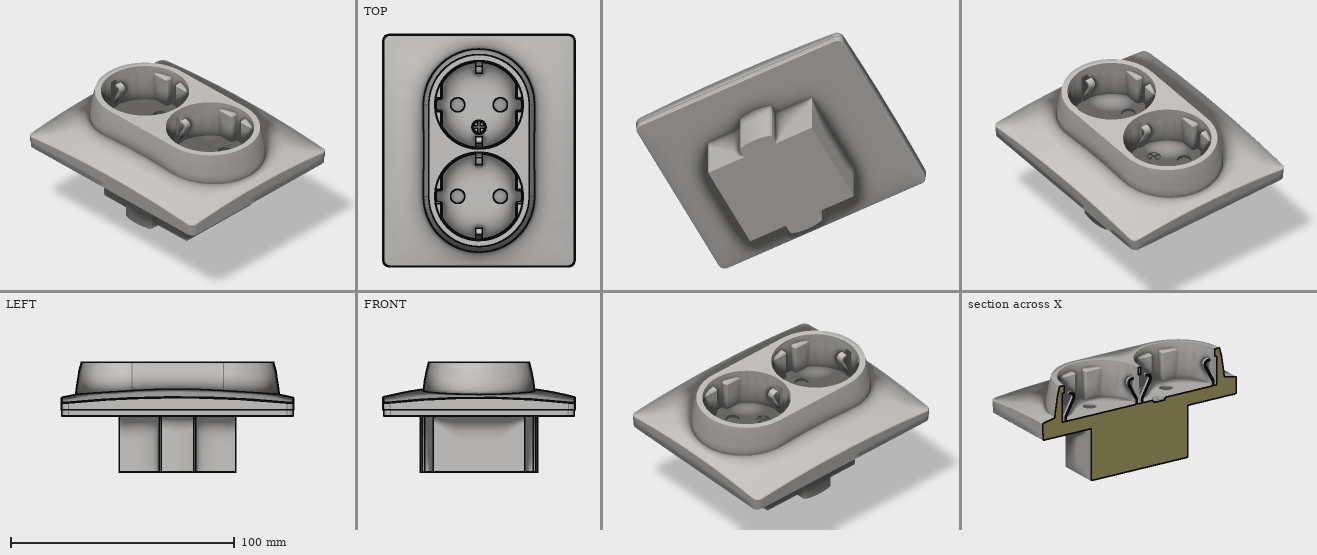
import cadquery as cq
import math

PLATE_X = 86.0
PLATE_Y = 104.0
PLATE_CORNER_R = 3.0
FRAME_X = 85.4
FRAME_Y = 103.8
FRAME_TOP_Z = 3.0
FRAME_BOTTOM_CHAMFER = 0.3

DOME_CENTRE_Z = 14.0
DOME_X_EDGE_Z = 8.6
DOME_Y_EDGE_Z = 8.4
DOME_CORNER_Z = 5.9
DOME_MARGIN = 1.0
DOME_GRID = 12
DOME_TOLERANCE = 0.001
DOME_EDGE_CHAMFER = 0.3

SOCKET_PITCH = 41.0
TOP_Z = 24.2
BODY_TOP_R = 22.5
BODY_MID_R = 24.2
BODY_MID_Z = 17.0
BODY_BASE_R = 25.0
BODY_BASE_Z = 10.0
BODY_ROOT_Z = 4.0

WELL_TOP_R = 19.8
WELL_FLOOR_R = 19.1
WELL_DEPTH = 17.5
FLOOR_Z = TOP_Z - WELL_DEPTH
PIN_SPACING = 19.1
PIN_HOLE_D = 6.3
PIN_HOLE_DEPTH = 1.5

RIB_FACE_X = 16.4
RIB_GAP_Y = 5.0
RIB_TOP_Z = 21.0
RIB_CHAMFER = 0.7
RIB_REACH = 22.0

CLIP_WIDTH = 3.1
CLIP_THICKNESS = 0.9
CLIP_BEND_CENTRE_Y = 16.5
CLIP_BEND_CENTRE_Z = 17.6
CLIP_BEND_R = 2.3
CLIP_LIP_END_Y = 17.2
CLIP_LEG_ANGLE = 28.0
CLIP_FOOT_Y = 18.6
CLIP_FOOT_Z = 8.9
CLIP_SLOT_WIDTH = 4.2
CLIP_SLOT_TOP_Z = 20.4
CLIP_SLOT_INNER_Y = 18.0
CLIP_SLOT_OUTER_Y = 20.9

SCREW_OFFSET_Y = -10.0
SCREW_D = 6.3
SCREW_RECESS_DEPTH = 1.0
HEAD_HEIGHT = 0.8
HEAD_CHAMFER = 0.6
CROSS_LENGTH = 5.6
CROSS_WIDTH = 1.1
CROSS_DEPTH = 1.0

HOUSING_DEPTH = 25.0
HOUSING_X = 40.9
HOUSING_Y = 52.2
BULGE_R = 26.4
BULGE_Y = 16.2
BULGE_EDGE_CHAMFER = 0.8

SOCKET_CENTRES = (-SOCKET_PITCH / 2, SOCKET_PITCH / 2)


def dome_height(x, y):
    """Dome height: parabolic along X and Y, with a cross term that sets the corners."""
    u = (2 * x / PLATE_X) ** 2
    v = (2 * y / PLATE_Y) ** 2
    drop_x = DOME_CENTRE_Z - DOME_X_EDGE_Z
    drop_y = DOME_CENTRE_Z - DOME_Y_EDGE_Z
    corner_lift = DOME_CORNER_Z - DOME_CENTRE_Z + drop_x + drop_y
    return DOME_CENTRE_Z - drop_x * u - drop_y * v + corner_lift * u * v


def make_cover():
    half_x = PLATE_X / 2 + DOME_MARGIN
    half_y = PLATE_Y / 2 + DOME_MARGIN
    points = []
    for i in range(DOME_GRID + 1):
        x = half_x * (2 * i / DOME_GRID - 1)
        row = []
        for j in range(DOME_GRID + 1):
            y = half_y * (2 * j / DOME_GRID - 1)
            row.append(cq.Vector(x, y, dome_height(x, y)))
        points.append(row)
    dome = cq.Face.makeSplineApprox(points, tol=DOME_TOLERANCE)
    above_dome = cq.Solid.extrudeLinear(dome, cq.Vector(0, 0, DOME_CENTRE_Z))

    cover = (
        cq.Workplane("XY", origin=(0, 0, FRAME_TOP_Z))
        .rect(PLATE_X, PLATE_Y)
        .extrude(DOME_CENTRE_Z)
        .edges("|Z")
        .fillet(PLATE_CORNER_R)
        .cut(cq.Workplane(above_dome))
    )
    return cover.faces(">Z").edges().chamfer(DOME_EDGE_CHAMFER)


def make_frame():
    return (
        cq.Workplane("XY")
        .rect(FRAME_X, FRAME_Y)
        .extrude(FRAME_TOP_Z)
        .edges("|Z")
        .fillet(PLATE_CORNER_R)
        .faces("<Z")
        .edges()
        .chamfer(FRAME_BOTTOM_CHAMFER)
    )


def body_half_section():
    return (
        cq.Workplane("XZ")
        .moveTo(0, BODY_ROOT_Z)
        .lineTo(BODY_BASE_R, BODY_ROOT_Z)
        .lineTo(BODY_BASE_R, BODY_BASE_Z)
        .threePointArc((BODY_MID_R, BODY_MID_Z), (BODY_TOP_R, TOP_Z))
        .lineTo(0, TOP_Z)
        .close()
    )


def make_body():
    """Rounded slot shape with bowed sides: a straight middle and two turned ends."""
    half_middle = body_half_section().extrude(SOCKET_PITCH / 2, both=True)
    body = half_middle.union(half_middle.mirror("YZ"))
    turned_end = body_half_section().revolve(360, (0, 0, 0), (0, 1, 0))
    for y in SOCKET_CENTRES:
        body = body.union(turned_end.translate((0, y, 0)))
    return body


def make_housing():
    core = (
        cq.Workplane("XY", origin=(0, 0, -HOUSING_DEPTH))
        .rect(HOUSING_X, HOUSING_Y)
        .extrude(HOUSING_DEPTH)
    )
    strip = (
        cq.Workplane("XY", origin=(0, 0, -HOUSING_DEPTH))
        .rect(2 * BULGE_R, BULGE_Y)
        .extrude(HOUSING_DEPTH)
    )
    bulges = (
        cq.Workplane("XY", origin=(0, 0, -HOUSING_DEPTH))
        .circle(BULGE_R)
        .extrude(HOUSING_DEPTH)
        .intersect(strip)
        .edges("|Z")
        .chamfer(BULGE_EDGE_CHAMFER)
    )
    return core.union(bulges)


def make_rib():
    """Chamfered rib at the +X, +Y side of a well; it runs out past the well wall."""
    block = cq.Workplane("XY").box(
        RIB_REACH - RIB_FACE_X,
        RIB_REACH - RIB_GAP_Y / 2,
        RIB_TOP_Z - FLOOR_Z,
        centered=False,
    )
    return (
        block.edges("(<X and <Y) or (>Z and <X) or (>Z and <Y)")
        .chamfer(RIB_CHAMFER)
        .translate((RIB_FACE_X, RIB_GAP_Y / 2, FLOOR_Z))
    )


def make_well():
    """Space of one socket well, with its ribs left standing."""
    well = (
        cq.Workplane("XZ")
        .moveTo(0, FLOOR_Z)
        .lineTo(WELL_FLOOR_R, FLOOR_Z)
        .lineTo(WELL_TOP_R, TOP_Z)
        .lineTo(0, TOP_Z)
        .close()
        .revolve(360, (0, 0, 0), (0, 1, 0))
    )
    rib = make_rib()
    rib_pair = rib.union(rib.mirror("XZ"))
    well = well.cut(rib_pair).cut(rib_pair.mirror("YZ"))

    slot_length = CLIP_SLOT_OUTER_Y - CLIP_SLOT_INNER_Y
    slot = cq.Workplane("XY").box(
        CLIP_SLOT_WIDTH, slot_length, CLIP_SLOT_TOP_Z - FLOOR_Z, centered=(True, False, False)
    ).translate((0, CLIP_SLOT_INNER_Y, FLOOR_Z))
    well = well.union(slot).union(slot.mirror("XZ"))

    pin_holes = (
        cq.Workplane("XY", origin=(0, 0, FLOOR_Z))
        .pushPoints([(-PIN_SPACING / 2, 0), (PIN_SPACING / 2, 0)])
        .circle(PIN_HOLE_D / 2)
        .extrude(-PIN_HOLE_DEPTH)
    )
    return well.union(pin_holes)


def bend_point(radius, angle):
    """Point on the clip bend; the angle runs from the inward direction towards +Z."""
    return (
        CLIP_BEND_CENTRE_Y - radius * math.cos(math.radians(angle)),
        CLIP_BEND_CENTRE_Z + radius * math.sin(math.radians(angle)),
    )


def make_clip():
    """Bent strip at the +Y side of a well: foot, leg leaning inwards and curled lip."""
    inner_r = CLIP_BEND_R - CLIP_THICKNESS
    bend_start = -CLIP_LEG_ANGLE
    bend_end = 90
    bend_middle = (bend_start + bend_end) / 2
    foot_back = CLIP_FOOT_Y + CLIP_THICKNESS
    return (
        cq.Workplane("YZ")
        .moveTo(CLIP_FOOT_Y, FLOOR_Z)
        .lineTo(CLIP_FOOT_Y, CLIP_FOOT_Z)
        .lineTo(*bend_point(CLIP_BEND_R, bend_start))
        .threePointArc(bend_point(CLIP_BEND_R, bend_middle), bend_point(CLIP_BEND_R, bend_end))
        .lineTo(CLIP_LIP_END_Y, CLIP_BEND_CENTRE_Z + CLIP_BEND_R)
        .lineTo(CLIP_LIP_END_Y, CLIP_BEND_CENTRE_Z + inner_r)
        .lineTo(*bend_point(inner_r, bend_end))
        .threePointArc(bend_point(inner_r, bend_middle), bend_point(inner_r, bend_start))
        .lineTo(foot_back, CLIP_FOOT_Z)
        .lineTo(foot_back, FLOOR_Z)
        .close()
        .extrude(CLIP_WIDTH / 2, both=True)
    )


def make_screw_recess():
    """Round recess around a chamfered screw head, with the cross slot of the head."""
    centre_y = SOCKET_PITCH / 2 + SCREW_OFFSET_Y
    seat_z = FLOOR_Z - SCREW_RECESS_DEPTH
    head_z = seat_z + HEAD_HEIGHT
    head = (
        cq.Workplane("XY", origin=(0, centre_y, seat_z))
        .circle(SCREW_D / 2)
        .extrude(HEAD_HEIGHT)
        .faces(">Z")
        .edges()
        .chamfer(HEAD_CHAMFER)
    )
    recess = (
        cq.Workplane("XY", origin=(0, centre_y, seat_z))
        .circle(SCREW_D / 2)
        .extrude(SCREW_RECESS_DEPTH)
        .cut(head)
    )
    for length_x, length_y in ((CROSS_LENGTH, CROSS_WIDTH), (CROSS_WIDTH, CROSS_LENGTH)):
        arm = (
            cq.Workplane("XY", origin=(0, centre_y, head_z))
            .rect(length_x, length_y)
            .extrude(-CROSS_DEPTH)
        )
        recess = recess.union(arm)
    return recess


def build():
    part = make_cover().union(make_frame()).union(make_body()).union(make_housing())
    well = make_well()
    clip = make_clip()
    clip_pair = clip.union(clip.mirror("XZ"))
    for y in SOCKET_CENTRES:
        part = part.cut(well.translate((0, y, 0)))
    for y in SOCKET_CENTRES:
        part = part.union(clip_pair.translate((0, y, 0)))
    return part.cut(make_screw_recess())


result = build()